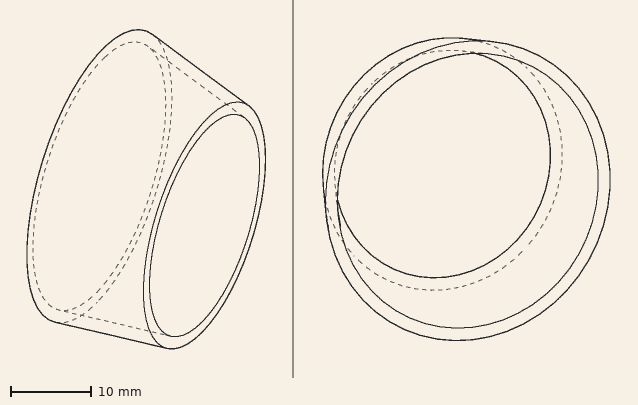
import cadquery as cq

length = 16.5
large_diameter = 38.0
small_diameter = 32.0
wall = 1.6

small_end_offset = -(large_diameter - small_diameter) / 2


def tapered_body(inset):
    """Skewed cone between the two ends, with both radii reduced by the inset."""
    return (
        cq.Workplane("YZ")
        .circle(large_diameter / 2 - inset)
        .workplane(offset=length)
        .center(small_end_offset, 0)
        .circle(small_diameter / 2 - inset)
        .loft(ruled=True)
    )


outer_body = tapered_body(0)
bore = tapered_body(wall)
result = outer_body.cut(bore)